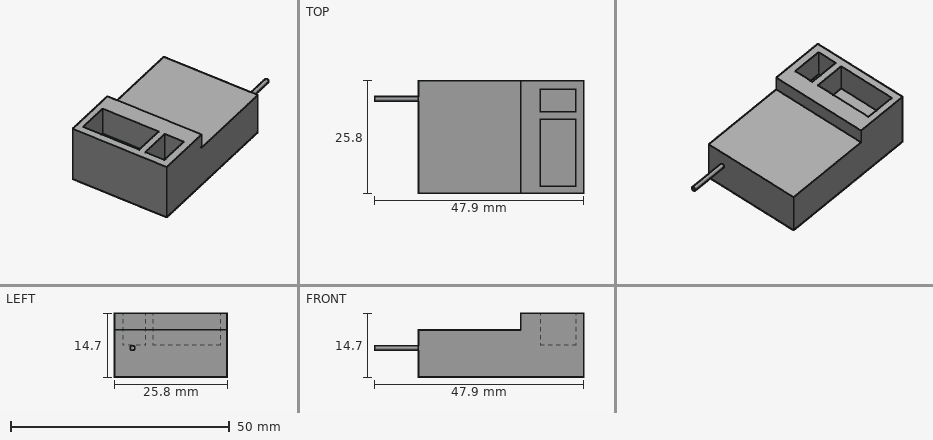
import cadquery as cq

overall_length = 47.85
width = 25.8
height = 14.65

lead_length = 10.0
housing_length = overall_length - lead_length
low_height = 10.8
raised_length = 14.45

pocket_length = 8.1
pocket_depth = 7.2
end_wall = 1.9
front_wall = 1.65
back_wall = 1.9
divider = 1.67
small_pocket_width = 5.2
large_pocket_width = width - front_wall - back_wall - divider - small_pocket_width

lead_diameter = 1.1
lead_inset = 4.15
lead_y = width - lead_inset
lead_z = 6.65


def make_pocket(front_y, pocket_width):
    """Rectangular pocket cutter whose front side is at front_y."""
    start = (overall_length - end_wall - pocket_length, front_y, height - pocket_depth)
    return cq.Workplane("XY").box(pocket_length, pocket_width, pocket_depth, centered=False).translate(start)


def make_housing():
    """Stepped block with two pockets in its raised end."""
    base = cq.Workplane("XY").box(housing_length, width, low_height, centered=False)
    base = base.translate((lead_length, 0, 0))
    raised_end = cq.Workplane("XY").box(raised_length, width, height, centered=False)
    raised_end = raised_end.translate((overall_length - raised_length, 0, 0))
    large_pocket = make_pocket(front_wall, large_pocket_width)
    small_pocket = make_pocket(width - back_wall - small_pocket_width, small_pocket_width)
    return base.union(raised_end).cut(large_pocket).cut(small_pocket)


def make_lead():
    """Round lead that ends flat against the low end of the housing."""
    return (
        cq.Workplane("YZ")
        .center(lead_y, lead_z)
        .circle(lead_diameter / 2)
        .extrude(lead_length)
    )


housing = make_housing().solids()
lead = make_lead()

result = cq.Compound.makeCompound([housing.val(), lead.val()])